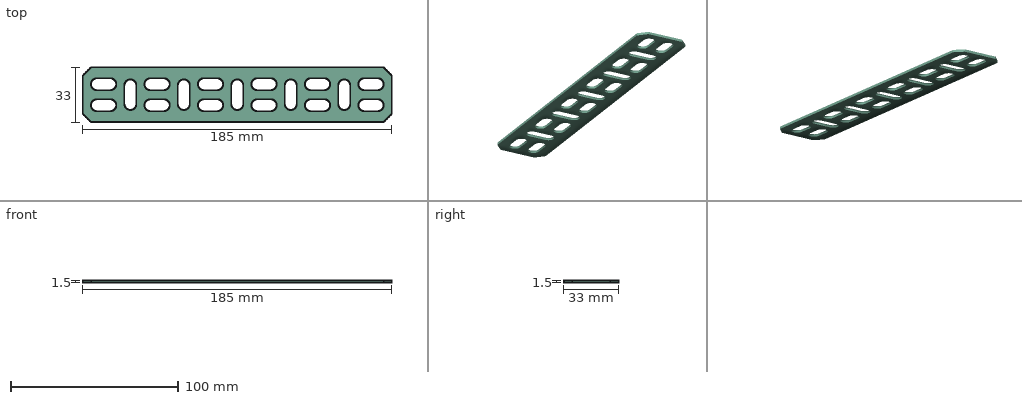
import cadquery as cq

length = 185.0
width = 33.0
thickness = 1.5
corner_chamfer = 5.0

slot_width = 7.0
long_slot_length = 15.0
cross_slot_length = 18.1
column_pitch = 32.0
row_spacing = 12.5
column_count = 6


def make_plate():
    """Flat strip with its four upright corners cut off."""
    plate = cq.Workplane("XY").box(length, width, thickness)
    return plate.edges("|Z").chamfer(corner_chamfer)


def cut_slots(plate, columns, rows, slot_length, angle):
    """Cut a centred grid of through slots, turned by angle from the X axis."""
    return (
        plate.faces(">Z").workplane(origin=(0, 0, 0))
        .rarray(column_pitch, row_spacing, columns, rows)
        .slot2D(slot_length, slot_width, angle)
        .cutThruAll()
    )


result = make_plate()
result = cut_slots(result, column_count, 2, long_slot_length, 0)
result = cut_slots(result, column_count - 1, 1, cross_slot_length, 90)